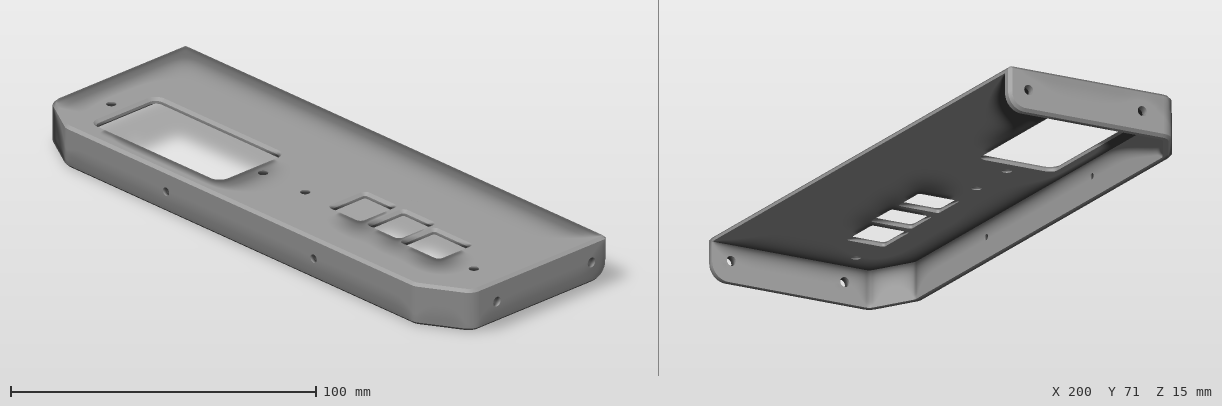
import cadquery as cq
import math

length = 200.0
depth = 71.0
height = 15.0
mid_height = height / 2

wall = 3.0
panel_thickness = 2.0

clip_angle = math.radians(30)
clip_depth = 10.0
clip_length = clip_depth / math.tan(clip_angle)
corner_radius = 5.0

rear_radius = 6.0
edge_bevel = 1.0

screw_hole_diameter = 3.5
panel_hole_y = 22.0
panel_hole_xs = [-84.0, -12.0, 8.0, 88.0]
side_hole_ys = [21.0, 63.8]

front_hole_spacing = 70.0
front_hole_diameter = 2.2
front_bore_diameter = 3.0
front_bore_depth = 1.2

window_bevel = 1.0
windows = [
    (-48.0, 22.2, 60.0, 28.5, 3.0),
    (28.8, 28.2, 14.0, 15.5, 1.0),
    (47.0, 28.2, 14.0, 15.5, 1.0),
    (65.5, 26.5, 17.0, 14.2, 1.0),
]


def clipped_block(inset, y_rear, z_top, radius):
    """Solid prism with the clipped-corner outline, its front and sides moved inwards by inset."""
    half_length = length / 2 - inset
    half_front = length / 2 - clip_length - inset * math.tan(clip_angle / 2)
    y_clip = clip_depth + inset * math.tan(clip_angle)
    outline = [
        (-half_length, y_rear),
        (-half_length, y_clip),
        (-half_front, inset),
        (half_front, inset),
        (half_length, y_clip),
        (half_length, y_rear),
    ]
    block = cq.Workplane("XY").polyline(outline).close().extrude(z_top)
    return block.edges("|Z and (not >Y)").fillet(radius)


def shell():
    """Bevelled cover, hollow and open at the underside and the rear."""
    outer = clipped_block(0, depth, height, corner_radius)
    outer = outer.edges("|X and >Y and <Z").fillet(rear_radius)

    side_edges = "((not |X) and (not |Z))"
    front_edges = "(|X and <Y)"
    rear_upright_edges = "(|Z and >Y)"
    outer = outer.edges(f">Z or {side_edges} or {front_edges} or {rear_upright_edges}").chamfer(edge_bevel)

    cavity = clipped_block(wall, depth + wall, height - panel_thickness, corner_radius - wall)
    return outer.cut(cavity)


def rounded_prism(x, y, z, sketch, thickness, taper=0):
    """Prism raised from height z over a sketch centred on (x, y)."""
    return cq.Workplane("XY", origin=(x, y, z)).placeSketch(sketch).extrude(thickness, taper=taper)


def window(x, y, size_x, size_y, radius):
    """Cutter for a panel window whose rim flares out at 45 degrees to the top face."""
    opening = cq.Sketch().rect(size_x, size_y).vertices().fillet(radius)
    through = rounded_prism(x, y, mid_height, opening, mid_height)
    flare = rounded_prism(x, y, height - window_bevel, opening, window_bevel, taper=-45)
    return through.union(flare)


def panel_hole(x):
    """Cutter for a vertical screw hole through the panel."""
    plane = cq.Workplane("XY", origin=(x, panel_hole_y, mid_height))
    return plane.circle(screw_hole_diameter / 2).extrude(height)


def side_hole(y):
    """Cutter for a hole along X through both side walls."""
    plane = cq.Workplane("YZ", origin=(0, y, mid_height))
    return plane.circle(screw_hole_diameter / 2).extrude(length, both=True)


def front_hole(x):
    """Cutter for a counterbored hole through the front wall."""
    plane = cq.Workplane("XZ", origin=(x, 0, mid_height))
    through = plane.circle(front_hole_diameter / 2).extrude(-2 * wall)
    bore = plane.circle(front_bore_diameter / 2).extrude(-front_bore_depth)
    return through.union(bore)


cutters = [window(*dimensions) for dimensions in windows]
cutters += [panel_hole(x) for x in panel_hole_xs]
cutters += [side_hole(y) for y in side_hole_ys]
cutters += [front_hole(side * front_hole_spacing / 2) for side in (-1, 1)]

result = shell()
for cutter in cutters:
    result = result.cut(cutter)